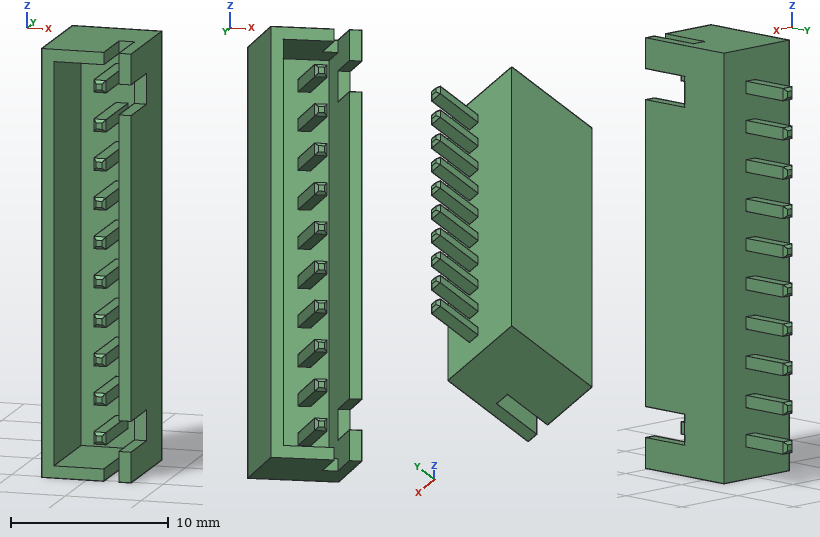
import cadquery as cq


pin_count = 10
pin_pitch = 2.54
pin_width = 0.8
pin_tip_width = 0.4
pin_taper_length = 0.2
pin_axis_x = 3.5
pin_front_y = 1.0
pin_rear_length = 3.5

end_margin = 2.5
housing_width = 5.9
housing_depth = 7.0
housing_height = (pin_count - 1) * pin_pitch + 2 * end_margin
wall_thickness = 0.8
cavity_depth = housing_depth - wall_thickness

slot_depth = 3.5
end_slot_width = 1.0
side_slot_height = 2.0
side_slot_offset = 2.0

cavity_right_x = housing_width - wall_thickness
pin_rear_y = housing_depth + pin_rear_length


def block(x_start, y_start, z_start, width, depth, height):
    """Box given by its lowest corner and its X, Y and Z sizes."""
    return cq.Workplane("XY").box(width, depth, height, centered=False).translate((x_start, y_start, z_start))


def make_housing():
    """Block hollowed from the front, leaving a rear wall that carries the pins."""
    outer = block(0, 0, 0, housing_width, housing_depth, housing_height)
    cavity = block(
        wall_thickness,
        0,
        wall_thickness,
        housing_width - 2 * wall_thickness,
        cavity_depth,
        housing_height - 2 * wall_thickness,
    )
    return outer.cut(cavity)


def cut_end_slots(housing):
    """Slot through both end walls, along the inner face of the +X side wall."""
    slot_x = cavity_right_x - end_slot_width
    return housing.cut(block(slot_x, 0, 0, end_slot_width, slot_depth, housing_height))


def cut_side_slots(housing):
    """Two slots through the +X side wall, one near each end."""
    upper_slot_z = housing_height - side_slot_offset - side_slot_height
    for slot_z in (side_slot_offset, upper_slot_z):
        housing = housing.cut(block(cavity_right_x, 0, slot_z, wall_thickness, slot_depth, side_slot_height))
    return housing


def make_pin_tip(base_y, end_y, axis_z):
    """Square frustum narrowing from base_y to end_y."""
    base_plane = cq.Plane(origin=(pin_axis_x, base_y, axis_z), xDir=(1, 0, 0), normal=(0, 1, 0))
    return (
        cq.Workplane(base_plane)
        .rect(pin_width, pin_width)
        .workplane(offset=end_y - base_y)
        .rect(pin_tip_width, pin_tip_width)
        .loft(ruled=True)
    )


def make_pin(axis_z):
    """Square pin along Y with a tapered tip at each end."""
    shank_front_y = pin_front_y + pin_taper_length
    shank_rear_y = pin_rear_y - pin_taper_length
    shank = block(
        pin_axis_x - pin_width / 2,
        shank_front_y,
        axis_z - pin_width / 2,
        pin_width,
        shank_rear_y - shank_front_y,
        pin_width,
    )
    front_tip = make_pin_tip(shank_front_y, pin_front_y, axis_z)
    rear_tip = make_pin_tip(shank_rear_y, pin_rear_y, axis_z)
    return shank.union(front_tip).union(rear_tip)


result = cut_side_slots(cut_end_slots(make_housing()))
for pin_index in range(pin_count):
    result = result.union(make_pin(end_margin + pin_index * pin_pitch))